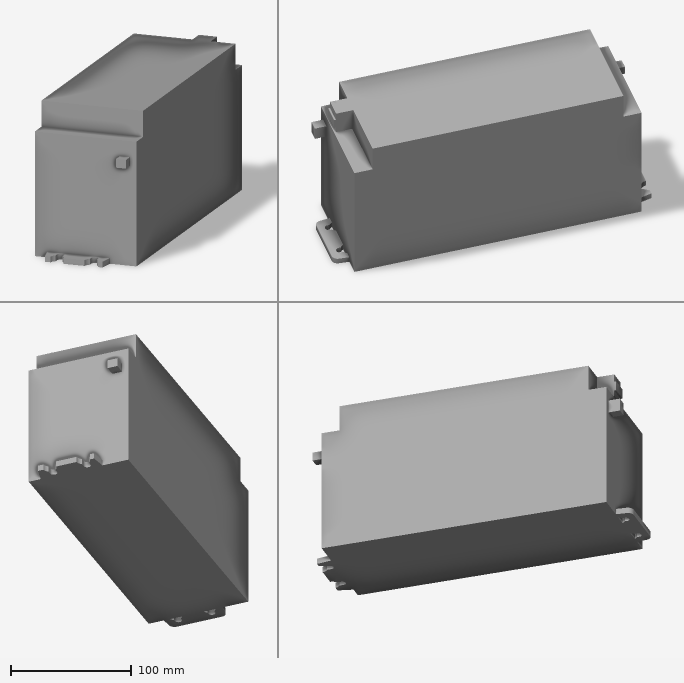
import cadquery as cq
import math

width = 90.0
height = 130.0
wall_y = 125.5
upper_wall_y = 109.5
step_z = 107.5

tab_end_y = 139.0
tab_thickness = 5.0
slot_centers_x = (-20.3, 10.0)
slot_neck_radius = 3.0
slot_bore_radius = 5.8

rear_left_x = -31.5
rear_right_x = 21.5
rear_taper = 0.8
rear_corner = 5.3
rear_slot_top_y = 133.2
rear_bore_y = 123.2

front_left_x = -34.2
front_right_x = 21.7
front_left_taper = 3.0
front_right_taper = 2.0
front_slot_top_y = -127.3
front_bore_y = -tab_end_y
prong_end_y = -138.5

plug_width = 9.0
plug_center_x = 35.0
plug_length = 10.0
plug_bottom_z = 86.5
rear_plug_height = 11.0
front_plug_height = 7.5

connector_width = 16.0
connector_center_x = 15.0
connector_bottom_z = 110.0
connector_length = 15.0
lip_bottom_z = 115.0
lip_height = 8.3
lip_length = 1.7


def block(x_center, x_size, y_start, y_size, z_start, z_size):
    """Box centred on x_center, growing from y_start and z_start toward +Y and +Z."""
    return cq.Workplane("XY").box(x_size, y_size, z_size, centered=(True, False, False)).translate(
        (x_center, y_start, z_start)
    )


def keyhole(x, neck_top_y, bore_y):
    """Keyhole cutter: round-ended neck running toward -Y into a wider bore."""
    neck_center_y = neck_top_y - slot_neck_radius
    neck_end = cq.Workplane("XY").center(x, neck_center_y).circle(slot_neck_radius).extrude(tab_thickness)
    neck = block(x, 2 * slot_neck_radius, bore_y, neck_center_y - bore_y, 0, tab_thickness)
    bore = cq.Workplane("XY").center(x, bore_y).circle(slot_bore_radius).extrude(tab_thickness)
    return neck_end.union(neck).union(bore)


def cut_keyholes(tab, neck_top_y, bore_y):
    for x in slot_centers_x:
        tab = tab.cut(keyhole(x, neck_top_y, bore_y))
    return tab


def make_rear_tab():
    left_x = rear_left_x + rear_taper
    right_x = rear_right_x - rear_taper
    shoulder_y = tab_end_y - rear_corner
    arc_offset = rear_corner * (1 - math.sqrt(0.5))
    outline = (
        cq.Workplane("XY")
        .moveTo(rear_left_x, wall_y)
        .lineTo(left_x, shoulder_y)
        .threePointArc((left_x + arc_offset, tab_end_y - arc_offset), (left_x + rear_corner, tab_end_y))
        .lineTo(right_x - rear_corner, tab_end_y)
        .threePointArc((right_x - arc_offset, tab_end_y - arc_offset), (right_x, shoulder_y))
        .lineTo(rear_right_x, wall_y)
        .close()
    )
    return cut_keyholes(outline.extrude(tab_thickness), rear_slot_top_y, rear_bore_y)


def make_front_tab():
    left_slot_x, right_slot_x = slot_centers_x
    outline = cq.Workplane("XY").polyline([
        (front_left_x, -wall_y),
        (front_left_x + front_left_taper, prong_end_y),
        (left_slot_x, prong_end_y),
        (left_slot_x, -tab_end_y),
        (right_slot_x, -tab_end_y),
        (right_slot_x, prong_end_y),
        (front_right_x - front_right_taper, prong_end_y),
        (front_right_x, -wall_y),
    ]).close()
    return cut_keyholes(outline.extrude(tab_thickness), front_slot_top_y, front_bore_y)


def make_housing():
    lower = block(0, width, -wall_y, 2 * wall_y, 0, step_z)
    upper = block(0, width, -upper_wall_y, 2 * upper_wall_y, step_z, height - step_z)
    return lower.union(upper).union(make_rear_tab()).union(make_front_tab())


def make_plug(y_start, plug_height):
    return block(plug_center_x, plug_width, y_start, plug_length, plug_bottom_z, plug_height)


def make_connector():
    body = block(
        connector_center_x, connector_width, upper_wall_y, connector_length,
        connector_bottom_z, height - connector_bottom_z,
    )
    lip = block(
        connector_center_x, connector_width, upper_wall_y + connector_length, lip_length,
        lip_bottom_z, lip_height,
    )
    return body.union(lip)


housing = make_housing()
connector = make_connector()
plugs = [
    make_plug(y_start, plug_height)
    for y_start, plug_height in (
        (wall_y, rear_plug_height),
        (-wall_y - plug_length, front_plug_height),
    )
]

result = cq.Compound.makeCompound([housing.val(), connector.val(), *[plug.val() for plug in plugs]])